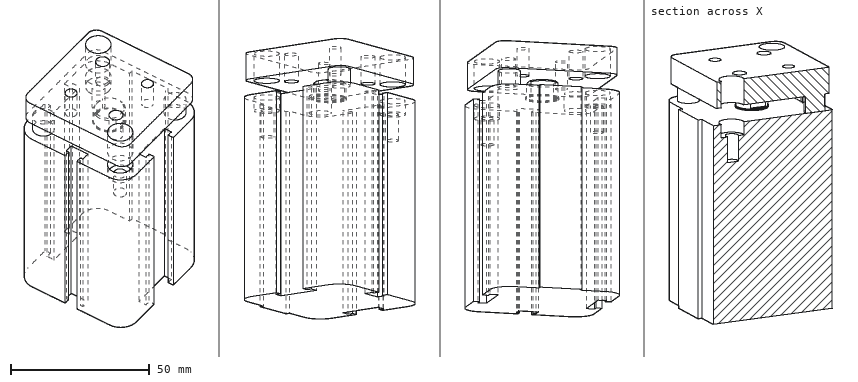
import cadquery as cq

total_height = 90.5
plate_thickness = 10.0
gap_height = 6.15
housing_height = total_height - plate_thickness - gap_height
plate_bottom = housing_height + gap_height

housing_side = 48.0
housing_corner_radius = 7.0
tab_width = 15.7
tab_projection = 1.5

slot_lip = 2.3
slot_depth = 5.3
front_mouth = 5.2
front_overhang = 1.1
side_mouth = 11.95
side_overhang = 2.0

screw_offset = 16.2
shank_offset = 16.0
screw_head_diameter = 9.1
screw_shank_diameter = 4.7
counterbore_depth = 4.9
screw_hole_depth = 14.5

plate_side = 45.25
plate_corner_radius = 3.7
plate_hole_offset = 9.9
dowel_hole_diameter = 5.0
threaded_hole_diameter = 4.25

guide_offset = 17.0
guide_diameter = 8.0
rod_diameter = 11.7
rod_across_flats = 10.05
rod_chamfer = 0.5
flat_start = 0.9
collar_diameter = 12.0
collar_height = 0.5
collar_chamfer = (collar_diameter - rod_diameter) / 2


def falling_diagonal(offset):
    """Two points on the diagonal from (-X, +Y) to (+X, -Y)."""
    return [(-offset, offset), (offset, -offset)]


def rising_diagonal(offset):
    """Two points on the diagonal from (-X, -Y) to (+X, +Y)."""
    return [(-offset, -offset), (offset, offset)]


def t_slot(mouth, overhang):
    """Full-height T-slot cutter that opens on the -Y side of the housing."""
    face_y = -housing_side / 2
    neck = cq.Workplane("XY").box(mouth, slot_depth, housing_height, centered=(True, False, False))
    chamber = (
        cq.Workplane("XY")
        .box(mouth + 2 * overhang, slot_depth - slot_lip, housing_height, centered=(True, False, False))
        .translate((0, slot_lip, 0))
    )
    return neck.union(chamber).translate((0, face_y, 0))


def make_housing():
    """Rounded square extrusion with a rear tab, three T-slots and two screw holes."""
    body = (
        cq.Workplane("XY")
        .box(housing_side, housing_side, housing_height, centered=(True, True, False))
        .edges("|Z")
        .fillet(housing_corner_radius)
    )

    half_side = housing_side / 2
    tab = cq.Workplane("XY").box(
        tab_width, half_side + tab_projection, housing_height, centered=(True, False, False)
    )
    body = body.union(tab)

    body = body.cut(t_slot(front_mouth, front_overhang))
    side_slot = t_slot(side_mouth, side_overhang)
    for angle in (-90, 90):
        body = body.cut(side_slot.rotate((0, 0, 0), (0, 0, 1), angle))

    top_face = cq.Workplane("XY").workplane(offset=housing_height)
    head_points = falling_diagonal(screw_offset)
    shank_points = falling_diagonal(shank_offset)
    counterbores = top_face.pushPoints(head_points).circle(screw_head_diameter / 2).extrude(-counterbore_depth)
    shanks = top_face.pushPoints(shank_points).circle(screw_shank_diameter / 2).extrude(-screw_hole_depth)
    return body.cut(counterbores).cut(shanks)


def make_plate():
    """Rounded square end plate with its through holes."""
    plate = (
        cq.Workplane("XY")
        .box(plate_side, plate_side, plate_thickness, centered=(True, True, False))
        .edges("|Z")
        .fillet(plate_corner_radius)
    )
    hole_sets = [
        (falling_diagonal(screw_offset), screw_head_diameter),
        (falling_diagonal(plate_hole_offset), dowel_hole_diameter),
        (rising_diagonal(plate_hole_offset), threaded_hole_diameter),
    ]
    for points, diameter in hole_sets:
        holes = cq.Workplane("XY").pushPoints(points).circle(diameter / 2).extrude(plate_thickness)
        plate = plate.cut(holes)
    return plate.translate((0, 0, plate_bottom))


def make_piston_rod():
    """Piston rod in the gap: chamfered end, two flats facing X and a collar at its foot."""
    rod = (
        cq.Workplane("XY")
        .circle(rod_diameter / 2)
        .extrude(gap_height)
        .faces(">Z")
        .chamfer(rod_chamfer)
    )
    flatted = cq.Workplane("XY").box(
        rod_across_flats, rod_diameter, gap_height, centered=(True, True, False)
    )
    foot = cq.Workplane("XY").circle(rod_diameter / 2).extrude(flat_start)
    collar = (
        cq.Workplane("XY")
        .circle(collar_diameter / 2)
        .extrude(collar_height)
        .faces(">Z")
        .chamfer(collar_chamfer)
    )
    return rod.intersect(flatted).union(foot).union(collar).translate((0, 0, housing_height))


def make_moving_unit():
    """Plate, guide rods and piston rod as one body standing on the housing."""
    guides = (
        cq.Workplane("XY")
        .workplane(offset=housing_height)
        .pushPoints(rising_diagonal(guide_offset))
        .circle(guide_diameter / 2)
        .extrude(gap_height)
    )
    return make_plate().union(guides).union(make_piston_rod())


housing = make_housing()
moving_unit = make_moving_unit()

result = cq.Compound.makeCompound([housing.val(), moving_unit.val()])